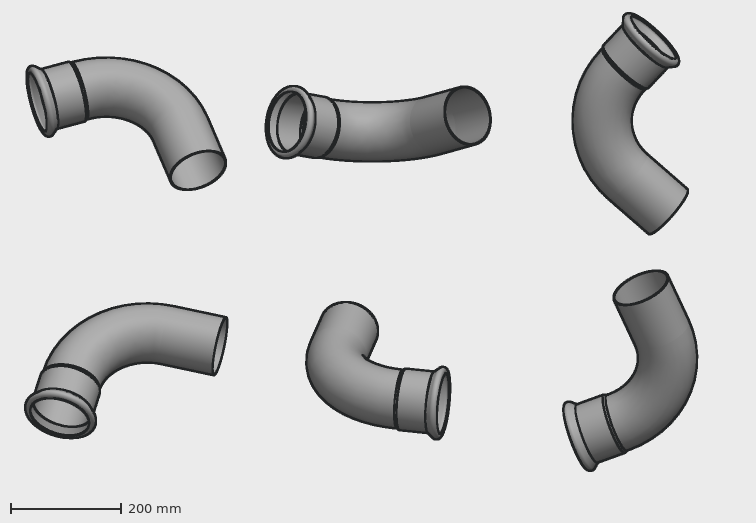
import cadquery as cq
import math

tube_outer_r = 108.0 / 2
tube_inner_r = 104.0 / 2
bend_r = 142.0
outlet_length = 99.0

socket_outer_r = 112.8 / 2
socket_inner_r = 108.8 / 2
socket_wall = socket_outer_r - socket_inner_r
mouth_r = 110.5 / 2
flare_end = 21.8
socket_end = 75.0
shoulder_end = 80.0
bend_start = 84.2

bead_outer_r = 132.8 / 2
bead_section_r = 7.0
bead_cavity_r = bead_section_r - socket_wall
bead_centre_r = bead_outer_r - bead_section_r

flare_dr = bead_centre_r - socket_outer_r
flare_dy = flare_end - bead_section_r
flare_reach = math.hypot(flare_dr, flare_dy)
tangent_angle = math.atan2(flare_dy, -flare_dr) - math.acos(bead_section_r / flare_reach)

inner_flare_end = flare_end - socket_wall * (1 - math.cos(tangent_angle)) / math.sin(tangent_angle)


def bead_point(section_r, angle):
    """Point on a circle about the bead centre; angle 0 is radially outward, 90 degrees is +Y."""
    return (
        bead_centre_r + section_r * math.cos(angle),
        bead_section_r + section_r * math.sin(angle),
    )


def socket():
    """Hollow socket revolved about the Y axis."""
    profile = (
        cq.Workplane("XY")
        .moveTo(mouth_r, 0)
        .lineTo(bead_centre_r, 0)
        .threePointArc(bead_point(bead_section_r, 0), bead_point(bead_section_r, tangent_angle))
        .lineTo(socket_outer_r, flare_end)
        .lineTo(socket_outer_r, socket_end)
        .lineTo(tube_outer_r, shoulder_end)
        .lineTo(tube_outer_r, bend_start)
        .lineTo(tube_inner_r, bend_start)
        .lineTo(tube_inner_r, shoulder_end)
        .lineTo(socket_inner_r, socket_end)
        .lineTo(socket_inner_r, inner_flare_end)
        .lineTo(*bead_point(bead_cavity_r, tangent_angle))
        .threePointArc(bead_point(bead_cavity_r, 0), (bead_centre_r, socket_wall))
        .lineTo(mouth_r, socket_wall)
        .close()
    )
    return profile.revolve(360, (0, 0, 0), (0, 1, 0))


def bend():
    """Quarter-turn tube from the socket axis round to +X."""
    ring = cq.Workplane("XZ", origin=(0, bend_start, 0)).circle(tube_outer_r).circle(tube_inner_r)
    return ring.revolve(90, (bend_r, 3, 0), (bend_r, 0, 0))


def outlet():
    """Straight plain tube end along +X."""
    ring = cq.Workplane("YZ", origin=(bend_r, bend_start + bend_r, 0))
    return ring.circle(tube_outer_r).circle(tube_inner_r).extrude(outlet_length)


result = socket().union(bend()).union(outlet())